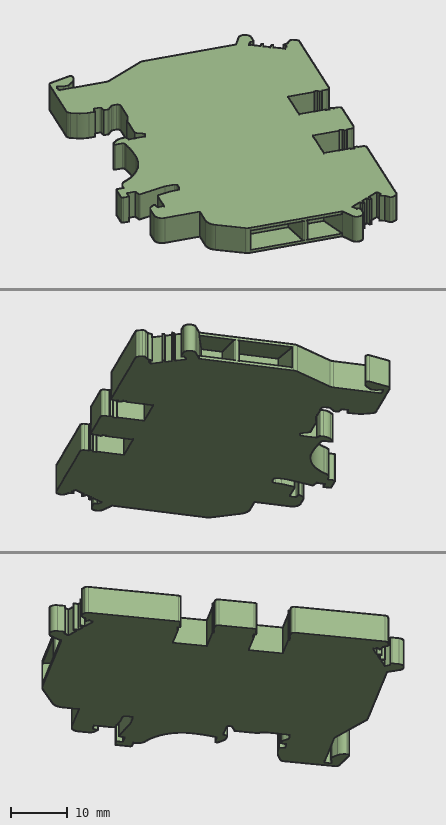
import math

import cadquery as cq


thickness = 5.2
overall_width = 63.44
overall_height = 46.2
body_half_width = 29.16
wall_bottom_y = 17.75
wall_top_y = 35.3
bevel_tan = math.tan(math.radians(60))
bevel_radius = 1.5

slot_half_width = 3.06
slot_center_x = 6.79
slot_floor_y = 38.4
slot_mouth_radius = 0.6
barb_height = 0.2
groove_depth = 0.2
barb_top_y = 44.8
barb_bottom_y = 44.2
groove_top_y = 43.95
groove_bottom_y = 43.35

seat_top = (25.09, 43.05)
seat_bottom_y = 37.4
tooth_top_ys = (41.25, 39.7)
tooth_height = 0.5
tooth_reach = 0.85
tooth_tip_rise = 0.2
tooth_tip_drop = 0.15

lug_top_y = 38.62
lug_underside_angle = math.radians(30)

right_leg_x = 21.25
right_shoulder_y = 11.55
right_leg_bottom_y = 3.55
catch_roof_x = 17.5
catch_roof_y = 6.2
slot_roof_y = 10.65
relief_wall_x = 11.35
arch_foot_left_x = 9.5
arch_foot_right_x = 12.55
arch_foot_top_y = 1.4

arch_top_y = 6.78
arch_radius_right = 8.0
arch_radius_left = 20.0
hook_inner_x = -4.5
hook_outer_x = -6.2
hook_neck_x = -5.4
hook_bottom_y = 4.4

recess_low_roof_y = 9.1
recess_high_roof_y = 9.65
recess_wall_x = -17.0
recess_lip_x = -15.95
finger_slot_wall_x = -24.75
finger_slot_floor_y = 0.95
finger_inner_x = -25.7
finger_top_y = 4.75

pocket_height = 4.0
pocket_depth = 5.0
upper_pocket_ys = (wall_top_y, 33.56, 29.75, 28.95)
lower_pocket_ys = (28.0, 27.0, 19.6, 18.35)
rib_tip_radius = 0.25


def seat_x(y):
    """Distance of the sloping label seat from the centre plane at height y."""
    top_x, top_y = seat_top
    return top_x + (top_y - y) / bevel_tan


def mirrored(vertices):
    """Mirror vertices about the YZ plane, keeping the direction of travel."""
    return [(-x, y, radius) for x, y, radius in reversed(vertices)]


def slot_vertices():
    """The right-hand slot, down its inner wall and up its outer wall."""
    wall = slot_half_width
    outer_wall = [
        (wall, slot_floor_y, 0),
        (wall, groove_bottom_y, 0),
        (wall + groove_depth, groove_bottom_y, 0),
        (wall + groove_depth, groove_top_y, 0),
        (wall - barb_height, barb_bottom_y, 0),
        (wall - barb_height, barb_top_y - barb_height, 0),
        (wall, barb_top_y, 0),
        (wall, overall_height, slot_mouth_radius),
    ]
    slot = mirrored(outer_wall) + outer_wall
    return [(slot_center_x + x, y, radius) for x, y, radius in slot]


def tooth_vertices(top_y):
    """One grip tooth standing out of the label seat."""
    bottom_y = top_y - tooth_height
    tip_x = seat_x(top_y) + tooth_reach
    return [
        (seat_x(top_y), top_y, 0),
        (tip_x, top_y + tooth_tip_rise, 0),
        (tip_x, top_y - tooth_tip_drop, 0),
        (seat_x(bottom_y), bottom_y, 0),
    ]


def top_right_vertices():
    """Right half of the symmetric upper outline, from the centre to the side wall."""
    lug_sharp_x = body_half_width + (lug_top_y - wall_top_y) / math.tan(lug_underside_angle)
    lug_half_angle = lug_underside_angle / 2
    lug_radius = (lug_sharp_x - overall_width / 2) / (1 / math.tan(lug_half_angle) - 1)
    vertices = slot_vertices()
    vertices += [
        (27.0, overall_height, 0.7),
        (27.6, 44.88, 0.55),
        (26.65, 44.0, 0),
        (26.32, 43.08, 0),
        (25.8, 43.55, 0),
        (*seat_top, 0),
    ]
    for top_y in tooth_top_ys:
        vertices += tooth_vertices(top_y)
    vertices += [
        (seat_x(seat_bottom_y), seat_bottom_y, 0),
        (29.15, 38.0, 0),
        (29.05, lug_top_y, 0.25),
        (lug_sharp_x, lug_top_y, lug_radius),
        (body_half_width, wall_top_y, 0),
    ]
    return vertices


def right_foot_vertices():
    """Lower right outline, from the side wall to the slot beside the rail arch."""
    bevel_end_x = body_half_width - (wall_bottom_y - right_shoulder_y) / bevel_tan
    return [
        (body_half_width, wall_bottom_y, bevel_radius),
        (bevel_end_x, right_shoulder_y, 2.4),
        (right_leg_x, right_shoulder_y, 0),
        (right_leg_x, right_leg_bottom_y, 1.5),
        (17.2, right_leg_bottom_y, 1.3),
        (16.5, 4.8, 0),
        (catch_roof_x, 5.0, 0.2),
        (catch_roof_x, catch_roof_y, 0),
        (13.8, catch_roof_y, 0.4),
        (13.25, 8.9, 0),
        (13.25, slot_roof_y, 0.7),
        (relief_wall_x, slot_roof_y, 0.5),
        (relief_wall_x, 8.4, 0),
        (12.5, 3.3, 0.15),
        (relief_wall_x, 2.95, 0),
        (relief_wall_x, arch_foot_top_y, 0),
        (arch_foot_right_x, arch_foot_top_y, 0),
        (arch_foot_right_x, 0, 0.3),
        (arch_foot_left_x, 0, 0.3),
        (arch_foot_left_x, arch_foot_top_y, 0),
    ]


def arch_vertices():
    """Rail arch, from its right foot to the snap hook on its left."""
    return [
        (8.04, 1.43, 1.5),
        (4.93, arch_top_y, arch_radius_right),
        (-1.87, arch_top_y, arch_radius_left),
        (hook_inner_x, 6.22, 0.4),
        (hook_inner_x, hook_bottom_y, 0.2),
        (-5.0, hook_bottom_y, 0.2),
        (hook_outer_x, 5.7, 2.0),
        (hook_outer_x, 7.15, 0.15),
        (hook_neck_x, 7.45, 0),
        (hook_neck_x, slot_roof_y, 0.5),
        (-6.3, slot_roof_y, 0.3),
        (-7.1, recess_low_roof_y, 0),
    ]


def left_foot_vertices():
    """Lower left outline: rail recess, foot and release finger, up to the side wall."""
    bevel_end_y = wall_bottom_y - (body_half_width + finger_slot_wall_x) * bevel_tan
    return [
        (-11.4, recess_low_roof_y, 0),
        (-11.6, 9.35, 0),
        (-12.6, recess_high_roof_y, 4.0),
        (recess_wall_x, recess_high_roof_y, 0.6),
        (recess_wall_x, 8.2, 0.4),
        (recess_lip_x, 7.2, 0.3),
        (recess_lip_x, 6.35, 0),
        (recess_wall_x, 6.15, 0.2),
        (recess_wall_x, 4.8, 0.25),
        (recess_lip_x, 4.75, 0),
        (-16.0, 2.5, 5.0),
        (-17.2, 0, 0.9),
        (-27.4, 0, 0.7),
        (-28.75, finger_top_y, 0.45),
        (-27.1, finger_top_y, 2.0),
        (finger_inner_x, 3.1, 0.2),
        (finger_inner_x, 2.2, 0.2),
        (-26.2, finger_slot_floor_y, 0.3),
        (finger_slot_wall_x, finger_slot_floor_y, 0.3),
        (finger_slot_wall_x, bevel_end_y, 1.3),
        (-body_half_width, wall_bottom_y, bevel_radius),
    ]


def rounded_outline(vertices):
    """Closed wire through the vertices (x, y, radius), each corner rounded by its radius."""
    edges = []
    start = None
    first = None
    count = len(vertices)
    for index, (x, y, radius) in enumerate(vertices):
        corner = cq.Vector(x, y)
        to_previous = (cq.Vector(*vertices[index - 1][:2]) - corner).normalized()
        to_next = (cq.Vector(*vertices[(index + 1) % count][:2]) - corner).normalized()
        half_angle = to_previous.getAngle(to_next) / 2
        setback = radius / math.tan(half_angle)
        arc_start = corner + to_previous * setback
        arc_end = corner + to_next * setback
        if start is None:
            first = arc_start
        else:
            edges.append(cq.Edge.makeLine(start, arc_start))
        if radius > 0:
            bisector = (to_previous + to_next).normalized()
            arc_middle = corner + bisector * (radius / math.sin(half_angle) - radius)
            edges.append(cq.Edge.makeThreePointArc(arc_start, arc_middle, arc_end))
        start = arc_end
    edges.append(cq.Edge.makeLine(start, first))
    return cq.Wire.assembleEdges(edges)


def housing_plate():
    """The full plate, extruded from its outline."""
    top_right = top_right_vertices()
    outline = mirrored(top_right) + top_right
    outline += right_foot_vertices() + arch_vertices() + left_foot_vertices()
    plate = cq.Solid.extrudeLinear(rounded_outline(outline), [], cq.Vector(0, 0, thickness))
    return cq.Workplane(obj=plate)


def wire_pocket(mouth_top, back_top, back_bottom, mouth_bottom):
    """Tapered pocket cutting inward from the left side wall."""
    mouth_x = -body_half_width
    back_x = mouth_x + pocket_depth
    corners = [
        (mouth_x, mouth_top),
        (back_x, back_top),
        (back_x, back_bottom),
        (mouth_x, mouth_bottom),
    ]
    return (
        cq.Workplane("XY", origin=(0, 0, (thickness - pocket_height) / 2))
        .polyline(corners)
        .close()
        .extrude(pocket_height)
    )


def rib_tip_edges(side):
    """Selector for the two mouth edges of the rib between the pockets (side: -1 or 1)."""
    margin = 0.1
    wall_x = side * body_half_width
    rib_top_y = upper_pocket_ys[-1]
    rib_bottom_y = lower_pocket_ys[0]
    return cq.selectors.BoxSelector(
        (wall_x - margin, rib_bottom_y - margin, 0),
        (wall_x + margin, rib_top_y + margin, thickness),
    )


housing = housing_plate()
for pocket_ys in (upper_pocket_ys, lower_pocket_ys):
    pocket = wire_pocket(*pocket_ys)
    housing = housing.cut(pocket).cut(pocket.mirror("YZ"))
for side in (-1, 1):
    housing = housing.edges("|Z").edges(rib_tip_edges(side)).fillet(rib_tip_radius)
result = cq.Workplane(obj=housing.solids().val())